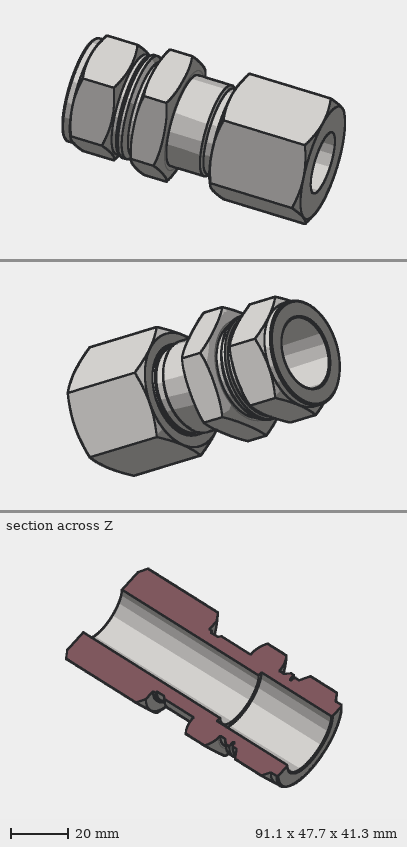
import cadquery as cq
import math

total_length = 91.09
hex_chamfer_slope = math.tan(math.radians(60))

collar_diameter = 37.8
collar_end_x = 3.0
collar_chamfer = 0.5
coupling_flats = 38.0
coupling_tail_diameter = 36.5
coupling_tail_x = 18.6
coupling_end_x = 20.75
coupling_tail_chamfer = 0.5

gap_diameter = 33.0
ring_diameter = 37.8
ring_start_x = 21.25
ring_rim_width = 1.45
neck_diameter = 34.5

lock_flats = 41.3
lock_start_x = 26.4
lock_end_x = 38.65
crown_inner_diameter = 36.5
crown_depth_at_flats = 0.45
crown_depth_at_corners = 1.9

barrel_diameter = 33.34
barrel_end_x = 52.35
undercut_diameter = 31.45
undercut_end_x = 55.4
shoulder_diameter = 33.0

hex_end_flats = 41.3
hex_end_start_x = 56.5
hex_end_face_diameter = 41.2

bore_diameter = 22.35
tube_socket_diameter = 25.6
tube_socket_depth = 31.0
socket_chamfer = 0.4


def corner_radius(flats):
    return flats / math.sqrt(3)


def revolve_x(profile):
    """Revolve a closed (x, radius) profile about the X axis."""
    return profile.revolve(360, (0, 0, 0), (1, 0, 0))


def turned(points):
    """Solid of revolution whose outer (x, radius) outline is closed along the axis."""
    outline = [(points[0][0], 0)] + points + [(points[-1][0], 0)]
    return revolve_x(cq.Workplane("XY").polyline(outline).close())


def cylinder(start_x, end_x, diameter):
    return turned([(start_x, diameter / 2), (end_x, diameter / 2)])


def hex_bar(start_x, end_x, flats):
    """Hexagonal bar along X with flats facing +Z and -Z."""
    return (
        cq.Workplane("YZ", origin=(start_x, 0, 0))
        .polygon(6, 2 * corner_radius(flats))
        .extrude(end_x - start_x)
    )


def make_coupling_nut():
    """Hexagonal nut turned down to a collar and a tail, with conical chamfers between."""
    collar_radius = collar_diameter / 2
    tail_radius = coupling_tail_diameter / 2
    outer_radius = corner_radius(coupling_flats)
    start_length = (outer_radius - collar_radius) / hex_chamfer_slope
    end_length = (outer_radius - tail_radius) / hex_chamfer_slope
    envelope = turned([
        (0, collar_radius - collar_chamfer),
        (collar_chamfer, collar_radius),
        (collar_end_x, collar_radius),
        (collar_end_x + start_length, outer_radius),
        (coupling_tail_x - end_length, outer_radius),
        (coupling_tail_x, tail_radius),
        (coupling_end_x - coupling_tail_chamfer, tail_radius),
        (coupling_end_x, tail_radius - coupling_tail_chamfer),
    ])
    return hex_bar(0, coupling_end_x, coupling_flats).intersect(envelope)


def make_lock_ring():
    """Narrow gap, bevelled ring and neck."""
    ring_radius = ring_diameter / 2
    neck_radius = neck_diameter / 2
    rim_end_x = ring_start_x + ring_rim_width
    bevel_end_x = rim_end_x + ring_radius - neck_radius
    ring = turned([
        (ring_start_x, ring_radius),
        (rim_end_x, ring_radius),
        (bevel_end_x, neck_radius),
        (lock_start_x, neck_radius),
    ])
    return cylinder(coupling_end_x, ring_start_x, gap_diameter).union(ring)


def make_lock_nut():
    """Hexagonal nut with both ends crowned by an arc revolved about X."""
    inner_radius = crown_inner_diameter / 2
    flat_radius = lock_flats / 2
    outer_radius = corner_radius(lock_flats)
    crown = (
        cq.Workplane("XY")
        .moveTo(lock_start_x, 0)
        .lineTo(lock_start_x, inner_radius)
        .threePointArc(
            (lock_start_x + crown_depth_at_flats, flat_radius),
            (lock_start_x + crown_depth_at_corners, outer_radius),
        )
        .lineTo(lock_end_x - crown_depth_at_corners, outer_radius)
        .threePointArc(
            (lock_end_x - crown_depth_at_flats, flat_radius),
            (lock_end_x, inner_radius),
        )
        .lineTo(lock_end_x, 0)
        .close()
    )
    return hex_bar(lock_start_x, lock_end_x, lock_flats).intersect(revolve_x(crown))


def make_barrel():
    """Barrel, bevelled down to the undercut, then the shoulder at the hexagonal end."""
    barrel_radius = barrel_diameter / 2
    undercut_radius = undercut_diameter / 2
    shoulder_radius = shoulder_diameter / 2
    bevel = barrel_radius - undercut_radius
    return turned([
        (lock_end_x, barrel_radius),
        (barrel_end_x - bevel, barrel_radius),
        (barrel_end_x, undercut_radius),
        (undercut_end_x, undercut_radius),
        (undercut_end_x, shoulder_radius),
        (hex_end_start_x, shoulder_radius),
    ])


def make_hex_end():
    """Hexagonal bar with a conical chamfer at both ends."""
    face_radius = hex_end_face_diameter / 2
    outer_radius = corner_radius(hex_end_flats)
    chamfer_length = (outer_radius - face_radius) / hex_chamfer_slope
    envelope = turned([
        (hex_end_start_x, face_radius),
        (hex_end_start_x + chamfer_length, outer_radius),
        (total_length - chamfer_length, outer_radius),
        (total_length, face_radius),
    ])
    return hex_bar(hex_end_start_x, total_length, hex_end_flats).intersect(envelope)


def make_bore():
    """Through bore with a tube socket and a lead-in chamfer at the open end."""
    bore_radius = bore_diameter / 2
    socket_radius = tube_socket_diameter / 2
    return turned([
        (0, socket_radius + socket_chamfer),
        (socket_chamfer, socket_radius),
        (tube_socket_depth, socket_radius),
        (tube_socket_depth, bore_radius),
        (total_length, bore_radius),
    ])


result = (
    make_coupling_nut()
    .union(make_lock_ring())
    .union(make_lock_nut())
    .union(make_barrel())
    .union(make_hex_end())
    .cut(make_bore())
)